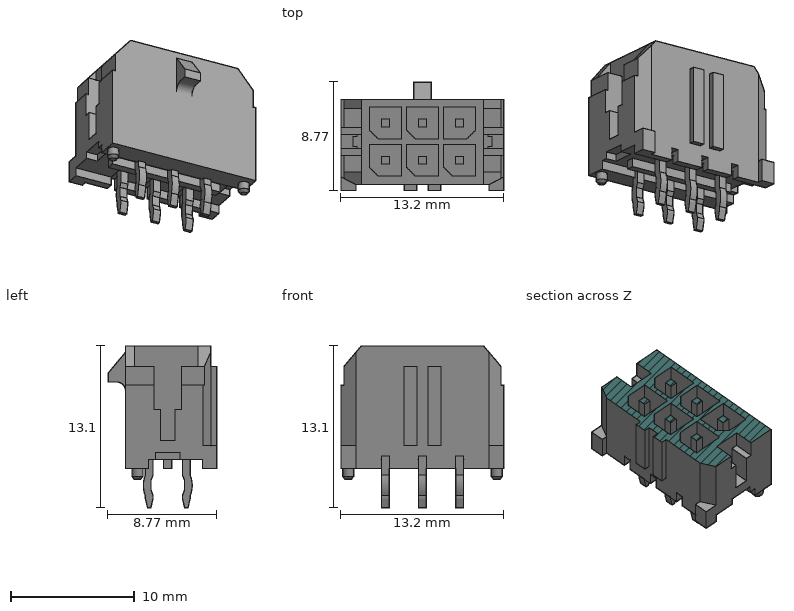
import cadquery as cq


half_width = 6.58
core_half_width = 4.93
front_y = -3.48
back_y = 3.4
height = 9.9
shoulder_half_width = 6.34
shoulder_z = 8.25
step_z = 6.73
corner_x = 5.35
corner_y = -2.85

foot_front_y = -3.97
foot_height = 1.84
rib_width = 1.03
rib_center_x = 0.97

gusset_front_y = -2.45
gusset_back_y = 2.65
wide_channel = 2.22
wide_channel_z = 4.75
narrow_channel = 1.16
narrow_channel_z = 2.27
clip_slot_width = 0.78
clip_slot_shoulder_x = 5.3
clip_slot_outer_x = 5.6
clip_slot_z = 1.84

latch_width = 1.42
latch_tip_y = 4.8
latch_top_z = 9.38
latch_nose_top_z = 7.7
latch_nose_bottom_z = 6.97
latch_radius = 0.7

pitch = 3.0
columns = (-pitch, 0, pitch)
row_center_y = -0.01
front_row = row_center_y - pitch / 2
rows = (front_row, front_row + pitch)
cavity_size = 2.58
cavity_floor_z = narrow_channel_z
cavity_corner = 0.72
pin_size = 0.65
pin_top_z = 6.58
pin_bottom_z = -3.18
pin_tip_width = 0.28
kink_top_z = -0.54
kink_bottom_z = -2.18
kink_offset = 0.16
kink_upper_z = -0.92
kink_lower_z = -1.75
tip_start_z = -2.42

recess_front_y = -2.8
recess_back_y = 1.55
recess_height = 0.72
side_notch_width = 1.97
side_notch_z = 1.3
pin_notch_z = 1.01
spine_width = 0.68

peg_x = 6.0
peg_y = 2.43
peg_diameter = 0.91
peg_length = 0.88
peg_tip_diameter = 0.51
peg_tip_length = 0.25


def box(x0, x1, y0, y1, z0, z1):
    """Box between the given limits."""
    return cq.Workplane("XY").box(x1 - x0, y1 - y0, z1 - z0, centered=False).translate((x0, y0, z0))


def mirrored(left):
    """A feature on the left together with its mirror image on the right."""
    return left.union(left.mirror("YZ"))


def housing_block():
    """Outer block: sloped shoulders in the XZ profile and beveled front corners in plan."""
    profile = (
        cq.Workplane("XZ", origin=(0, back_y, 0))
        .moveTo(0, 0)
        .lineTo(-half_width, 0)
        .lineTo(-half_width, step_z)
        .lineTo(-shoulder_half_width, step_z)
        .lineTo(-shoulder_half_width, shoulder_z)
        .lineTo(-core_half_width, height)
        .lineTo(0, height)
        .close()
        .extrude(back_y - front_y)
    )
    bevel = (
        cq.Workplane("XY")
        .polyline([(-half_width, front_y), (-corner_x, front_y), (-half_width, corner_y)])
        .close()
        .extrude(height)
    )
    return mirrored(profile.cut(bevel))


def feet_and_ribs():
    """Front corner feet and the two polarising ribs, all flush at the front."""
    foot = box(-half_width, -corner_x, foot_front_y, corner_y, 0, foot_height)
    rib = box(
        -rib_center_x - rib_width / 2, -rib_center_x + rib_width / 2,
        foot_front_y, front_y, foot_height, shoulder_z,
    )
    return mirrored(foot.union(rib))


def latch():
    """Latch ramp with a concave fillet under its nose."""
    return (
        cq.Workplane("YZ", origin=(-latch_width / 2, 0, 0))
        .moveTo(back_y, latch_top_z)
        .lineTo(latch_tip_y, latch_nose_top_z)
        .lineTo(latch_tip_y, latch_nose_bottom_z)
        .lineTo(back_y + latch_radius, latch_nose_bottom_z)
        .radiusArc((back_y, latch_nose_bottom_z - latch_radius), -latch_radius)
        .close()
        .extrude(latch_width)
    )


def side_cuts():
    """Material removed from both side walls."""
    def slot(width, inner_x, outer_x, z0, z1):
        return box(-outer_x, -inner_x, -width / 2, width / 2, z0, z1)

    cuts = box(-half_width, -core_half_width, gusset_front_y, gusset_back_y, shoulder_z, height)
    cuts = cuts.union(slot(wide_channel, core_half_width, half_width, wide_channel_z, height))
    cuts = cuts.union(slot(narrow_channel, core_half_width, half_width, narrow_channel_z, height))
    cuts = cuts.union(
        slot(narrow_channel, core_half_width, clip_slot_shoulder_x, clip_slot_z, narrow_channel_z)
    )
    cuts = cuts.union(
        slot(clip_slot_width, core_half_width, clip_slot_outer_x, clip_slot_z, narrow_channel_z)
    )
    cuts = cuts.union(slot(side_notch_width, clip_slot_outer_x, half_width, 0, side_notch_z))
    return mirrored(cuts)


def cavity(x, y, corner_side):
    """Contact cavity with one front corner cut off; corner_side is -1 for left, 1 for right."""
    half = cavity_size / 2
    outline = [
        (x - corner_side * half, y - half),
        (x + corner_side * (half - cavity_corner), y - half),
        (x + corner_side * half, y - half + cavity_corner),
        (x + corner_side * half, y + half),
        (x - corner_side * half, y + half),
    ]
    return (
        cq.Workplane("XY", origin=(0, 0, cavity_floor_z))
        .polyline(outline)
        .close()
        .extrude(height - cavity_floor_z)
    )


def underside_cuts():
    """Recess across the underside, leaving a central spine, with pin notches in the front wall."""
    cuts = box(-half_width, half_width, recess_front_y, recess_back_y, 0, recess_height)
    spine = box(
        -core_half_width, core_half_width, -spine_width / 2, spine_width / 2, 0, recess_height
    )
    cuts = cuts.cut(spine)
    for x in columns:
        notch = box(x - pin_size / 2, x + pin_size / 2, front_y, front_row, 0, pin_notch_z)
        cuts = cuts.union(notch)
    return cuts


def front_row_pin(x):
    """Contact pin whose tail bows toward the front and then tapers to its tip."""
    y = front_row
    outer = y - pin_size / 2
    inner = y + pin_size / 2
    kink_middle_z = (kink_top_z + kink_bottom_z) / 2
    return (
        cq.Workplane("YZ", origin=(x - pin_size / 2, 0, 0))
        .moveTo(inner, pin_top_z)
        .lineTo(outer, pin_top_z)
        .lineTo(outer, kink_top_z)
        .threePointArc((outer - kink_offset, kink_middle_z), (outer, kink_bottom_z))
        .lineTo(outer, tip_start_z)
        .lineTo(y - pin_tip_width / 2, pin_bottom_z)
        .lineTo(y + pin_tip_width / 2, pin_bottom_z)
        .lineTo(inner, tip_start_z)
        .lineTo(inner, kink_bottom_z)
        .lineTo(inner - kink_offset, kink_lower_z)
        .lineTo(inner - kink_offset, kink_upper_z)
        .lineTo(inner, kink_top_z)
        .close()
        .extrude(pin_size)
    )


def peg():
    """Locating peg with a conical tip."""
    return (
        cq.Workplane("XZ", origin=(-peg_x, peg_y, 0))
        .lineTo(peg_diameter / 2, 0)
        .lineTo(peg_diameter / 2, -peg_length + peg_tip_length)
        .lineTo(peg_tip_diameter / 2, -peg_length)
        .lineTo(0, -peg_length)
        .close()
        .revolve(360, (0, 0, 0), (0, 1, 0))
    )


result = housing_block().union(feet_and_ribs()).union(latch())
result = result.cut(side_cuts()).cut(underside_cuts())

for x in columns:
    for y in rows:
        is_key = x == columns[-1] and y == rows[-1]
        result = result.cut(cavity(x, y, 1 if is_key else -1))

for x in columns:
    pin = front_row_pin(x)
    result = result.union(pin).union(pin.mirror("XZ", (0, row_center_y, 0)))

result = result.union(mirrored(peg()))